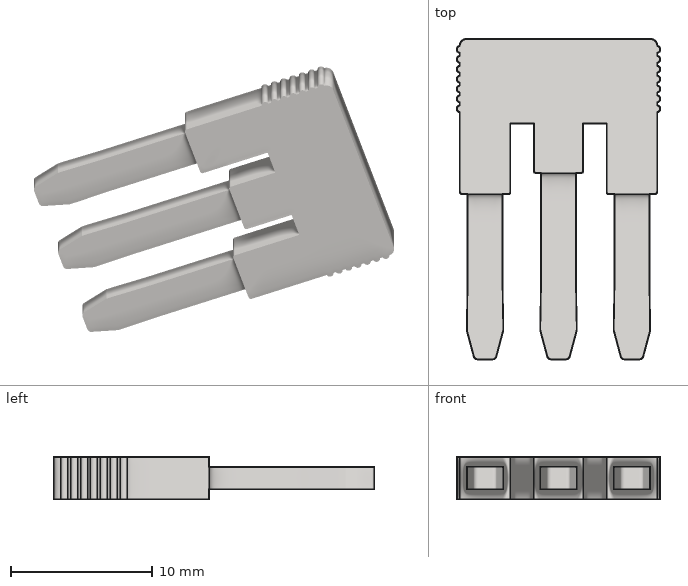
import cadquery as cq
import math


grip_width = 14.0
grip_thickness = 3.0
back_corner_radius = 0.5
outer_leg_end = 11.0
middle_leg_end = 9.5
slot_end = 6.0
middle_leg_width = 3.5
outer_leg_inner_x = 3.4
outer_leg_radius = 0.2
inner_leg_radius = 0.15

rib_count = 7
rib_pitch = 0.7
rib_width = 0.5
rib_height = 0.203
rib_root_depth = 0.5

pin_count = 3
pin_pitch = 5.2
pin_thickness = 1.6
pin_root_width = 2.5
pin_wide_width = 2.59
pin_end = 22.7
flare_start = 17.6
flare_end = 20.15
point_start = 20.65
point_angle = 15.0
pin_tip_radius = 0.3
pin_tip_width = pin_wide_width - 2 * (pin_end - point_start) * math.tan(math.radians(point_angle))


def extrude_centred(outline, thickness):
    """Extrude a closed XY outline equally to both sides of Z = 0."""
    return outline.extrude(thickness / 2, both=True)


def round_corners(solid, x, y, radius):
    """Fillet the mirrored pair of upright edges at (-x, y) and (x, y)."""
    left_edge = cq.selectors.NearestToPointSelector((-x, y, 0))
    right_edge = cq.selectors.NearestToPointSelector((x, y, 0))
    return solid.edges(left_edge + right_edge).fillet(radius)


def make_grip():
    """Back bar with two outer legs and a shorter middle leg."""
    side_x = grip_width / 2
    middle_x = middle_leg_width / 2
    outline = cq.Workplane("XY").polyline([
        (-side_x, 0),
        (-side_x, -outer_leg_end),
        (-outer_leg_inner_x, -outer_leg_end),
        (-outer_leg_inner_x, -slot_end),
        (-middle_x, -slot_end),
        (-middle_x, -middle_leg_end),
        (middle_x, -middle_leg_end),
        (middle_x, -slot_end),
        (outer_leg_inner_x, -slot_end),
        (outer_leg_inner_x, -outer_leg_end),
        (side_x, -outer_leg_end),
        (side_x, 0),
    ]).close()
    grip = extrude_centred(outline, grip_thickness)
    grip = round_corners(grip, side_x, 0, back_corner_radius)
    grip = round_corners(grip, side_x, -outer_leg_end, outer_leg_radius)
    grip = round_corners(grip, outer_leg_inner_x, -outer_leg_end, inner_leg_radius)
    return round_corners(grip, middle_x, -middle_leg_end, inner_leg_radius)


def make_rib(side, y_back):
    """Rounded rib on one side of the grip; side is -1 for -X or +1 for +X."""
    base_x = side * grip_width / 2
    crest_x = side * (grip_width / 2 + rib_height)
    y_front = y_back - rib_width
    outline = (
        cq.Workplane("XY")
        .moveTo(base_x, y_back)
        .threePointArc((crest_x, (y_back + y_front) / 2), (base_x, y_front))
        .lineTo(base_x - side * rib_root_depth, y_front)
        .lineTo(base_x - side * rib_root_depth, y_back)
        .close()
    )
    return extrude_centred(outline, grip_thickness)


def make_pin(x_centre):
    """Flat pin with a root inside the grip, a slight flare and a tapered tip with rounded corners."""
    right_side = [
        (pin_root_width / 2, -slot_end),
        (pin_root_width / 2, -flare_start),
        (pin_wide_width / 2, -flare_end),
        (pin_wide_width / 2, -point_start),
        (pin_tip_width / 2, -pin_end),
    ]
    left_side = [(-x, y) for x, y in reversed(right_side)]
    pin = extrude_centred(cq.Workplane("XY").polyline(right_side + left_side).close(), pin_thickness)
    pin = round_corners(pin, pin_tip_width / 2, -pin_end, pin_tip_radius)
    return pin.translate((x_centre, 0, 0))


result = make_grip()

for side in (-1, 1):
    for rib_index in range(rib_count):
        result = result.union(make_rib(side, -back_corner_radius - rib_index * rib_pitch))

for pin_index in range(pin_count):
    pin_x = (pin_index - (pin_count - 1) / 2) * pin_pitch
    result = result.union(make_pin(pin_x))